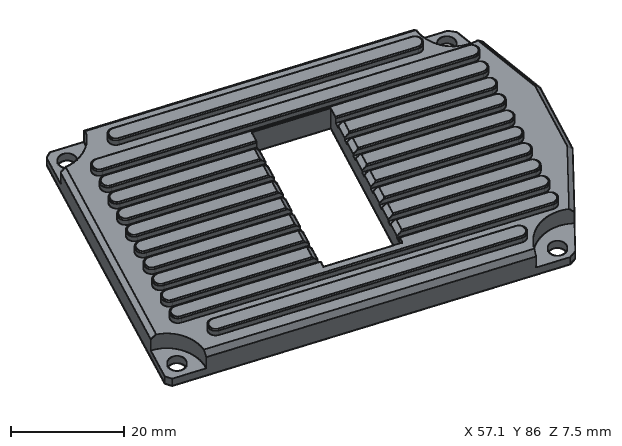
import cadquery as cq

WIDTH = 57.14
LENGTH = 86.02
PLATE_HEIGHT = 6.0
EDGE_CHAMFER = 1.0
CORNER_CHAMFER = 1.0

HALF_WIDTH = WIDTH / 2
REAR_Y = LENGTH / 2
FRONT_LEFT_Y = -LENGTH / 2
RIGHT_SHIFT = 0.25
FRONT_RIGHT_Y = FRONT_LEFT_Y + RIGHT_SHIFT
SHOULDER_LEFT_Y = 34.85
SHOULDER_RIGHT_Y = SHOULDER_LEFT_Y + RIGHT_SHIFT
CREST_LEFT_X = -7.7
CREST_RIGHT_X = 7.7

SEAT_HEIGHT = 2.0
SEAT_RADIUS = 7.5
HOLE_DIAMETER = 3.5
REAR_HOLE_X = 25.8
FRONT_HOLE_X = 25.57
REAR_HOLE_LEFT_Y = 32.52
FRONT_HOLE_LEFT_Y = -39.88

RIB_WIDTH = 3.0
RIB_HEIGHT = 1.5
RIB_CHAMFER = 0.25
RIB_COUNT = 10
RIB_PITCH = 4.12
RIB_ROW_CENTER_X = 0.2
RIB_FRONT_Y = -38.2
RIB_REAR_Y = 35.7
SIDE_RIB_X = 23.92
LEFT_RIB_FRONT_Y = -32.8
LEFT_RIB_REAR_Y = 27.2
RIGHT_RIB_FRONT_Y = -33.1
RIGHT_RIB_REAR_Y = 27.7

FIRST_RIB_X = RIB_ROW_CENTER_X - RIB_PITCH * (RIB_COUNT - 1) / 2
LAST_RIB_X = FIRST_RIB_X + RIB_PITCH * (RIB_COUNT - 1)
RIB_TOP = PLATE_HEIGHT + RIB_HEIGHT

WINDOW_LEFT_X = -15.1
WINDOW_RIGHT_X = LAST_RIB_X
WINDOW_FRONT_Y = -8.95
WINDOW_REAR_Y = 6.1
RIB_END_CHAMFER = 1.0

RECESS_DEPTH = 2.0
RECESS_MARGIN = 3.0

REAR_LEFT = (-HALF_WIDTH, SHOULDER_LEFT_Y)
REAR_RIGHT = (HALF_WIDTH, SHOULDER_RIGHT_Y)
FRONT_LEFT = (-HALF_WIDTH, FRONT_LEFT_Y)
FRONT_RIGHT = (HALF_WIDTH, FRONT_RIGHT_Y)
CORNERS = (FRONT_LEFT, FRONT_RIGHT, REAR_LEFT, REAR_RIGHT)


def make_plate():
    """Six-sided plate with a chamfered top edge and, below the seats, cut-off corners."""
    outline = [
        FRONT_LEFT,
        FRONT_RIGHT,
        REAR_RIGHT,
        (CREST_RIGHT_X, REAR_Y),
        (CREST_LEFT_X, REAR_Y),
        REAR_LEFT,
    ]
    plate = cq.Workplane("XY").polyline(outline).close().extrude(PLATE_HEIGHT)
    plate = plate.faces(">Z").chamfer(EDGE_CHAMFER)
    for corner in CORNERS:
        seat = cq.Workplane("XY").workplane(offset=SEAT_HEIGHT).center(*corner)
        plate = plate.cut(seat.circle(SEAT_RADIUS).extrude(PLATE_HEIGHT))
    for x, y in CORNERS:
        edge = cq.selectors.NearestToPointSelector((x, y, SEAT_HEIGHT / 2))
        plate = plate.edges("|Z").edges(edge).chamfer(CORNER_CHAMFER)
    return plate


def make_rib(x, front_y, rear_y):
    """Round-ended rib along Y with a chamfered top, standing on the plate."""
    return (
        cq.Workplane("XY")
        .workplane(offset=PLATE_HEIGHT)
        .center(x, (front_y + rear_y) / 2)
        .slot2D(rear_y - front_y, RIB_WIDTH, 90)
        .extrude(RIB_HEIGHT)
        .faces(">Z")
        .chamfer(RIB_CHAMFER)
    )


def make_rib_end_cutter():
    """Roof-shaped cutter that bevels the rib ends along the front and rear of the window."""
    low_z = RIB_TOP - RIB_END_CHAMFER
    profile = [
        (WINDOW_FRONT_Y, low_z),
        (WINDOW_REAR_Y, low_z),
        (WINDOW_REAR_Y + RIB_END_CHAMFER, RIB_TOP),
        (WINDOW_FRONT_Y - RIB_END_CHAMFER, RIB_TOP),
    ]
    start_x = FIRST_RIB_X + RIB_PITCH + RIB_PITCH / 2
    end_x = LAST_RIB_X - RIB_PITCH / 2
    plane = cq.Workplane("YZ").workplane(offset=start_x)
    return plane.polyline(profile).close().extrude(end_x - start_x)


def make_window_block(height, margin):
    """Block rising from the underside with the window's outline, widened by the margin."""
    size_x = WINDOW_RIGHT_X - WINDOW_LEFT_X + 2 * margin
    size_y = WINDOW_REAR_Y - WINDOW_FRONT_Y + 2 * margin
    block = cq.Workplane("XY").box(size_x, size_y, height, centered=False)
    return block.translate((WINDOW_LEFT_X - margin, WINDOW_FRONT_Y - margin, 0))


def make_window():
    """Rectangular opening through the plate and ribs."""
    return make_window_block(RIB_TOP, 0)


def make_recess():
    """Shallow rectangular recess in the underside, wider than the window on every side."""
    return make_window_block(RECESS_DEPTH, RECESS_MARGIN)


def make_holes():
    """Screw holes through the four seats."""
    centers = [
        (-REAR_HOLE_X, REAR_HOLE_LEFT_Y),
        (REAR_HOLE_X, REAR_HOLE_LEFT_Y + RIGHT_SHIFT),
        (-FRONT_HOLE_X, FRONT_HOLE_LEFT_Y),
        (FRONT_HOLE_X, FRONT_HOLE_LEFT_Y + RIGHT_SHIFT),
    ]
    return cq.Workplane("XY").pushPoints(centers).circle(HOLE_DIAMETER / 2).extrude(PLATE_HEIGHT)


result = make_plate()
for index in range(RIB_COUNT):
    result = result.union(make_rib(FIRST_RIB_X + index * RIB_PITCH, RIB_FRONT_Y, RIB_REAR_Y))
result = result.union(make_rib(-SIDE_RIB_X, LEFT_RIB_FRONT_Y, LEFT_RIB_REAR_Y))
result = result.union(make_rib(SIDE_RIB_X, RIGHT_RIB_FRONT_Y, RIGHT_RIB_REAR_Y))
for cutter in (make_window(), make_recess(), make_rib_end_cutter(), make_holes()):
    result = result.cut(cutter)